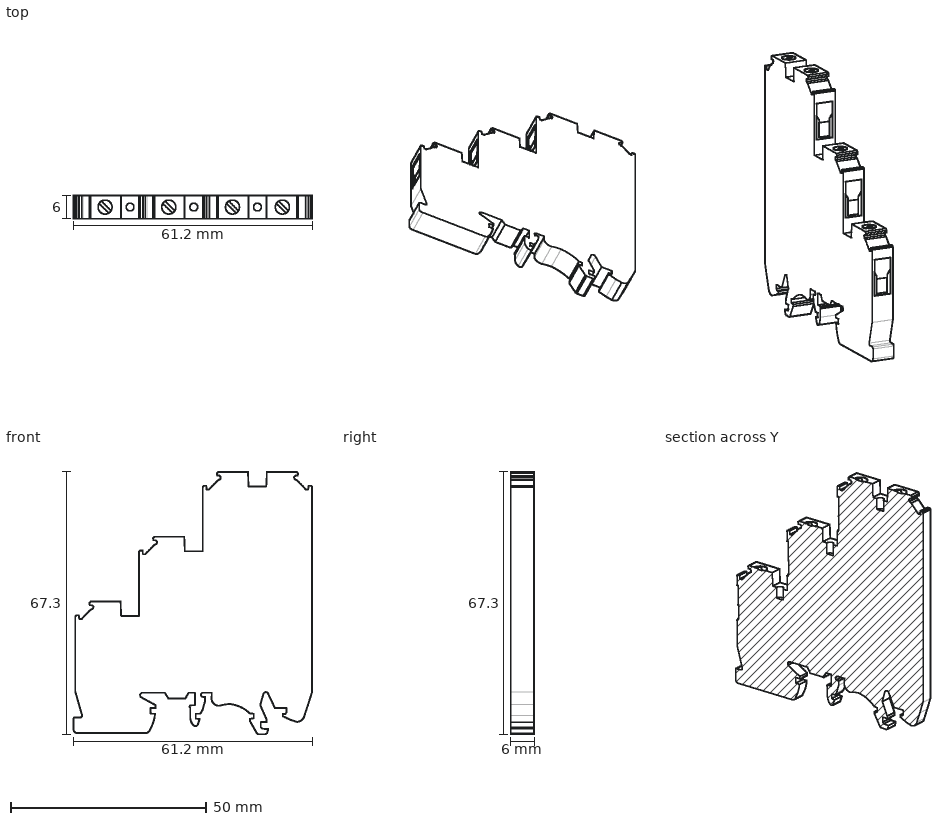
import cadquery as cq
import math

LENGTH = 61.2
WIDTH = 6.0
HEIGHT = 67.29

TIER_COUNT = 3
TOP_TIER = TIER_COUNT - 1
TIER_PITCH_X = 16.33
TIER_PITCH_Z = 16.6
FIRST_WALL_X = 0.45
HEAD_LENGTH = 11.8
HEAD_DRAFT = 0.15
GAP_DEPTH = 3.72

HEAD_PROFILE = [
    (0.0, 3.9),
    (0.15, 3.65),
    (0.4, 3.55),
    (0.95, 3.55),
    (1.05, 4.5),
    (1.65, 4.5),
    (1.95, 4.15),
    (3.9, 2.15),
    (4.5, 1.85),
    (4.65, 1.35),
    (4.3, 1.0),
    (3.7, 1.0),
    (3.6, 0.4),
    (4.0, 0.0),
]

RAIL_SEAT_Z = 10.62
SIDE_TAPER_Z = 10.9
FOOT_Z = 0.28
FOOT_TOP_Z = 4.35
FOOT_BOTTOM_R = 1.0
FOOT_TOP_R = 0.4

SCREW_DIA = 3.6
SCREW_FROM_WALL = 7.65
SCREW_RECESS = 0.1
SLOT_WIDTH = 0.85
SLOT_DEPTH = 0.2
SLOT_ANGLE = -45.0
TEST_HOLE_DIA = 2.0
TEST_HOLE_DEPTH = 3.0

ENTRY_WIDTH = 4.65
ENTRY_TOP = 6.65
ENTRY_BOTTOM = 16.3
THROAT_WIDTH = 2.95
TAPER_TOP = 9.9
TAPER_BOTTOM = 11.2
THROAT_TOP = 11.97
THROAT_BOTTOM = 15.85
ENTRY_DEPTH = 0.3
FUNNEL_DEPTH = 0.4
THROAT_DEPTH = 0.5


ARC_MID = 1 - math.sqrt(0.5)


def wall_x(tier):
    return FIRST_WALL_X + tier * TIER_PITCH_X


def head_top(tier):
    return HEIGHT - (TOP_TIER - tier) * TIER_PITCH_Z


def gap_start(tier):
    return wall_x(tier) + HEAD_LENGTH


def gap_end(tier):
    """The next tier's wall, or the mirrored head on the top tier."""
    return LENGTH - HEAD_LENGTH if tier == TOP_TIER else wall_x(tier + 1)


def trace_points(path, points):
    for x, z in points:
        path = path.lineTo(x, z)
    return path


def trace_left_head(path, tier):
    """Marker groove and top of a head, from its wall to its far side."""
    points = [(wall_x(tier) + d, head_top(tier) - drop) for d, drop in HEAD_PROFILE]
    points.append((wall_x(tier) + HEAD_LENGTH - HEAD_DRAFT, head_top(tier)))
    return trace_points(path, points)


def trace_top(path):
    """Staircase of heads and gaps, ending with the mirrored head at the right."""
    for tier in range(TIER_COUNT):
        path = trace_left_head(path, tier)
        gap_floor = head_top(tier) - GAP_DEPTH
        path = trace_points(path, [(gap_start(tier), gap_floor), (gap_end(tier), gap_floor)])
    path = path.lineTo(LENGTH - HEAD_LENGTH + HEAD_DRAFT, HEIGHT)
    mirrored = [(LENGTH - d, HEIGHT - drop) for d, drop in reversed(HEAD_PROFILE)]
    return trace_points(path, mirrored)


def trace_right_foot(path):
    """Tapered right side and the blunt nose beside the release notch."""
    path = trace_points(path, [(LENGTH, SIDE_TAPER_Z), (60.2, 7.7), (59.25, 4.9)])
    path = path.threePointArc((58.6, 3.7), (57.3, 3.15))
    return trace_points(
        path,
        [
            (55.6, 3.7),
            (53.6, 4.65),
            (53.6, 5.25),
            (54.3, 5.27),
            (54.6, 5.75),
            (54.6, 6.75),
            (51.6, 6.75),
            (49.85, 10.45),
        ],
    )


def trace_spring_leg(path):
    """Slender leg with a hooked toe, and the arched web to its left."""
    path = path.threePointArc((49.3, 10.8), (48.75, 10.45))
    path = trace_points(
        path,
        [
            (47.9, 7.5),
            (49.5, 3.9),
            (49.5, 3.1),
            (48.05, 3.1),
            (48.05, 1.85),
            (48.4, 1.45),
            (49.95, 1.4),
            (49.65, 0.3),
            (49.2, 0.0),
            (47.4, 0.0),
            (47.0, 0.25),
            (45.2, 3.4),
            (45.2, 3.95),
            (46.15, 4.15),
            (46.15, 5.25),
            (45.2, 5.35),
        ],
    )
    path = path.threePointArc((42.9, 6.95), (40.1, 7.75))
    path = path.threePointArc((38.7, 7.6), (37.4, 7.28))
    path = path.threePointArc((36.0, 7.8), (35.35, 9.2))
    return path.lineTo(35.45, RAIL_SEAT_Z)


def trace_rail_hook(path):
    """Short hook that grips the rail, and the rail seat with its central rib."""
    path = trace_points(
        path,
        [
            (33.0, RAIL_SEAT_Z),
            (32.6, 10.2),
            (32.9, 9.65),
            (33.8, 9.6),
            (33.75, 8.5),
            (33.1, 6.2),
            (32.5, 5.25),
            (31.4, 5.25),
            (31.4, 4.05),
            (32.4, 3.95),
            (31.85, 2.4),
        ],
    )
    path = path.threePointArc((31.3, 2.1), (30.75, 2.3))
    path = path.threePointArc((30.1, 3.3), (29.9, 4.6))
    return trace_points(
        path,
        [
            (29.9, 6.8),
            (29.7, 7.1),
            (29.9, 7.45),
            (31.15, 7.5),
            (31.15, RAIL_SEAT_Z),
            (29.5, RAIL_SEAT_Z),
            (28.7, 9.18),
            (24.3, 9.18),
            (23.4, RAIL_SEAT_Z),
        ],
    )


def trace_left_foot(path):
    """Large fixed foot with the rail notch, up to the taper of the left side."""
    path = trace_points(
        path,
        [
            (17.5, RAIL_SEAT_Z),
            (17.1, 10.25),
            (17.15, 9.65),
            (21.05, 7.5),
            (21.05, 6.75),
            (19.8, 6.75),
            (19.8, 5.35),
            (20.95, 5.3),
        ],
    )
    path = path.threePointArc((20.55, 3.25), (19.7, 1.3))
    path = path.threePointArc((19.25, 0.6), (18.6, FOOT_Z))
    path = path.lineTo(FOOT_BOTTOM_R, FOOT_Z)
    bottom_sag = FOOT_BOTTOM_R * ARC_MID
    path = path.threePointArc((bottom_sag, FOOT_Z + bottom_sag), (0.0, FOOT_Z + FOOT_BOTTOM_R))
    path = path.lineTo(0.0, FOOT_TOP_Z - FOOT_TOP_R)
    top_sag = FOOT_TOP_R * ARC_MID
    path = path.threePointArc((top_sag, FOOT_TOP_Z - top_sag), (FOOT_TOP_R, FOOT_TOP_Z))
    path = path.lineTo(1.7, FOOT_TOP_Z)
    return path.threePointArc((2.1, 4.55), (2.15, 4.95))


def make_body():
    path = cq.Workplane("XZ").moveTo(FIRST_WALL_X, SIDE_TAPER_Z)
    path = trace_top(path)
    path = trace_right_foot(path)
    path = trace_spring_leg(path)
    path = trace_rail_hook(path)
    path = trace_left_foot(path)
    return path.close().extrude(WIDTH / 2, both=True)


def screw_recess(x, z):
    """Shallow round recess with a driver slot in its floor."""
    top = cq.Workplane("XY", origin=(x, 0, z))
    face = top.circle(SCREW_DIA / 2).extrude(-SCREW_RECESS)
    slot = (
        top.transformed(rotate=(0, 0, SLOT_ANGLE))
        .rect(SCREW_DIA, SLOT_WIDTH)
        .extrude(-SCREW_RECESS - SLOT_DEPTH)
    )
    bore = top.circle(SCREW_DIA / 2).extrude(-SCREW_RECESS - SLOT_DEPTH)
    return face.union(slot.intersect(bore))


def test_hole(x, z):
    return cq.Workplane("XY", origin=(x, 0, z)).circle(TEST_HOLE_DIA / 2).extrude(-TEST_HOLE_DEPTH)


def wire_entry(tier):
    """Stepped window in a tier's wall: outer window, tapered guide, throat."""
    wall = cq.Workplane("YZ", origin=(wall_x(tier), 0, head_top(tier)))
    half_entry = ENTRY_WIDTH / 2
    half_throat = THROAT_WIDTH / 2
    window = (
        wall.moveTo(-half_entry, -ENTRY_BOTTOM)
        .lineTo(half_entry, -ENTRY_BOTTOM)
        .lineTo(half_entry, -ENTRY_TOP)
        .lineTo(-half_entry, -ENTRY_TOP)
        .close()
        .extrude(ENTRY_DEPTH)
    )
    funnel = (
        wall.moveTo(-half_entry, -ENTRY_TOP)
        .lineTo(half_entry, -ENTRY_TOP)
        .lineTo(half_entry, -TAPER_TOP)
        .lineTo(half_throat, -TAPER_BOTTOM)
        .lineTo(half_throat, -THROAT_BOTTOM)
        .lineTo(-half_throat, -THROAT_BOTTOM)
        .lineTo(-half_throat, -TAPER_BOTTOM)
        .lineTo(-half_entry, -TAPER_TOP)
        .close()
        .extrude(FUNNEL_DEPTH)
    )
    throat = (
        wall.center(0, -(THROAT_TOP + THROAT_BOTTOM) / 2)
        .rect(THROAT_WIDTH, THROAT_BOTTOM - THROAT_TOP)
        .extrude(THROAT_DEPTH)
    )
    return window.union(funnel).union(throat)


result = make_body()
for level in range(TIER_COUNT):
    hole_x = (gap_start(level) + gap_end(level)) / 2
    result = result.cut(screw_recess(wall_x(level) + SCREW_FROM_WALL, head_top(level)))
    result = result.cut(test_hole(hole_x, head_top(level) - GAP_DEPTH))
    result = result.cut(wire_entry(level))
result = result.cut(screw_recess(LENGTH - SCREW_FROM_WALL, HEIGHT))